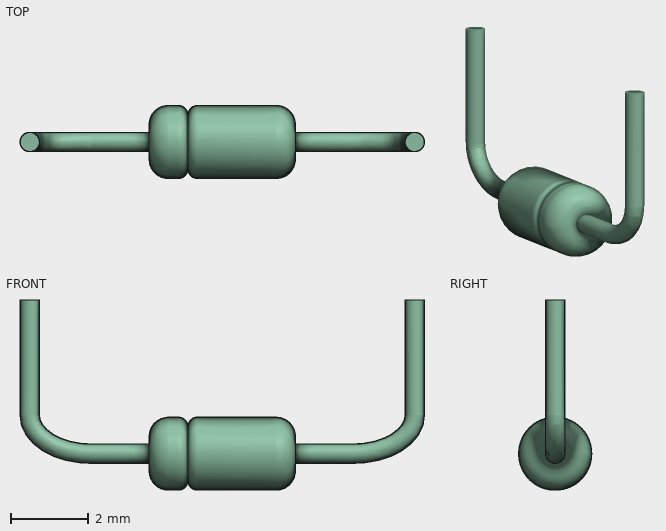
import cadquery as cq
import math

span = 10.5
wire_diameter = 0.5
body_diameter = 1.9
body_length = 3.8
overall_height = 4.95

end_round = 0.5
groove_round = 0.25
groove_from_end = 1.01

exit_length = 1.5
bend_height = 1.0

wire_radius = wire_diameter / 2
body_radius = body_diameter / 2
body_end = body_length / 2
groove_x = groove_from_end - body_end
groove_floor = body_radius - groove_round
end_flat_radius = body_radius - end_round
leg_x = span / 2 - wire_radius
bend_start = body_end + exit_length
bend_width = leg_x - bend_start
lead_top = overall_height - body_radius
leg_length = lead_top - bend_height


def arc_middle(center, radius, x_side):
    """Point halfway along a quarter round that faces outward on the given X side."""
    offset = radius * math.sqrt(0.5)
    return center[0] + x_side * offset, center[1] + offset


def make_body():
    """Revolve the rounded, grooved half profile about the X axis."""
    left_end = arc_middle((-body_end + end_round, end_flat_radius), end_round, -1)
    left_lip = arc_middle((groove_x - groove_round, groove_floor), groove_round, 1)
    right_lip = arc_middle((groove_x + groove_round, groove_floor), groove_round, -1)
    right_end = arc_middle((body_end - end_round, end_flat_radius), end_round, 1)
    profile = (
        cq.Workplane("XY")
        .moveTo(-body_end, 0)
        .lineTo(-body_end, end_flat_radius)
        .threePointArc(left_end, (-body_end + end_round, body_radius))
        .lineTo(groove_x - groove_round, body_radius)
        .threePointArc(left_lip, (groove_x, groove_floor))
        .threePointArc(right_lip, (groove_x + groove_round, body_radius))
        .lineTo(body_end - end_round, body_radius)
        .threePointArc(right_end, (body_end, end_flat_radius))
        .lineTo(body_end, 0)
        .close()
    )
    return profile.revolve(360, (0, 0, 0), (1, 0, 0))


def make_right_lead():
    """Sweep the bend and join it to the straight exit and the upright leg."""
    exit_wire = cq.Workplane("YZ").circle(wire_radius).extrude(bend_start)
    bend_path = (
        cq.Workplane("XZ")
        .moveTo(bend_start, 0)
        .ellipseArc(bend_width, bend_height, 270, 360, startAtCurrent=True)
    )
    bend = cq.Workplane("YZ", origin=(bend_start, 0, 0)).circle(wire_radius).sweep(bend_path)
    leg = (
        cq.Workplane("XY", origin=(leg_x, 0, bend_height))
        .circle(wire_radius)
        .extrude(leg_length)
    )
    return exit_wire.union(bend).union(leg)


right_lead = make_right_lead()
left_lead = right_lead.mirror("YZ")
result = make_body().union(right_lead).union(left_lead)